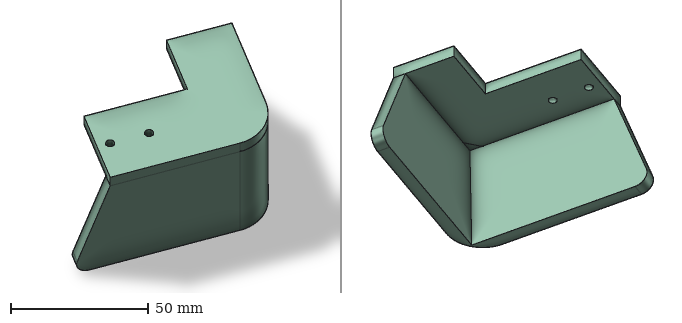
import cadquery as cq
import math

plate_x = 54.0
plate_y = 65.0
thickness = 5.0
back_leg_width = 25.2
side_leg_width = 30.05
corner_radius = 15.0

height = 50.0
total_x = 72.3
total_y = 78.2
tip_radius = 5.0
side_lean = 0.9
back_lean = -0.2

hole_diameter = 3.2
hole_edge_distance = 5.0
hole_spacing = 15.0

back_length = total_x - side_lean
side_length = total_y


def make_plate():
    """L-shaped plate with a rounded outer corner and two holes."""
    plate = (
        cq.Workplane("XY")
        .polyline([
            (0, 0),
            (-plate_x, 0),
            (-plate_x, -back_leg_width),
            (-side_leg_width, -back_leg_width),
            (-side_leg_width, -plate_y),
            (0, -plate_y),
        ])
        .close()
        .extrude(-thickness)
        .edges("|Z and >X and >Y")
        .fillet(corner_radius)
    )
    first_hole_y = -plate_y + hole_edge_distance
    holes = (
        cq.Workplane("XY")
        .pushPoints([
            (-side_leg_width / 2, first_hole_y),
            (-side_leg_width / 2, first_hole_y + hole_spacing),
        ])
        .circle(hole_diameter / 2)
        .extrude(-thickness)
    )
    return plate.cut(holes)


def flange_profile(plane, top_length, bottom_length, corner_overrun):
    """Tall flange outline: slanted free end, tangent to a round lower tip."""
    center_u = -bottom_length + tip_radius
    center_v = -height + tip_radius
    du = -top_length - center_u
    dv = -thickness - center_v
    tangent_angle = math.atan2(dv, du) + math.acos(tip_radius / math.hypot(du, dv))
    middle_angle = (tangent_angle + 1.5 * math.pi) / 2

    def on_tip(angle):
        return (
            center_u + tip_radius * math.cos(angle),
            center_v + tip_radius * math.sin(angle),
        )

    return (
        cq.Workplane(plane)
        .moveTo(corner_overrun, -thickness)
        .lineTo(-top_length, -thickness)
        .lineTo(*on_tip(tangent_angle))
        .threePointArc(on_tip(middle_angle), (center_u, -height))
        .lineTo(corner_overrun, -height)
        .close()
        .extrude(total_y, both=True)
    )


def leaning_wall(plane, lean):
    """Wall of constant thickness whose outer face starts under the plate edge."""
    return (
        cq.Workplane(plane)
        .polyline([
            (0, -thickness),
            (-thickness, -thickness),
            (lean - thickness, -height),
            (lean, -height),
        ])
        .close()
        .extrude(total_y, both=True)
    )


def make_flanges():
    """Back and side flanges meeting at a rounded outer corner."""
    back_wall = leaning_wall("YZ", back_lean)
    side_wall = leaning_wall("XZ", side_lean)
    back = back_wall.intersect(flange_profile("XZ", plate_x, back_length, side_lean))
    side = side_wall.intersect(flange_profile("YZ", plate_y, side_length, 0))

    inside_side_face = (
        cq.Workplane("XZ")
        .polyline([
            (0, -thickness),
            (-total_x, -thickness),
            (-total_x, -height),
            (side_lean, -height),
        ])
        .close()
        .extrude(total_y, both=True)
    )
    behind_back = (
        cq.Workplane("YZ")
        .polyline([(0, -thickness), (back_lean, -height), (0, -height)])
        .close()
        .extrude(total_y, both=True)
    )
    flanges = back.intersect(inside_side_face).union(side.cut(behind_back))
    corner = cq.selectors.NearestToPointSelector(
        (side_lean / 2, back_lean / 2, -(thickness + height) / 2)
    )
    return flanges.edges(corner).fillet(corner_radius)


result = make_plate().union(make_flanges())